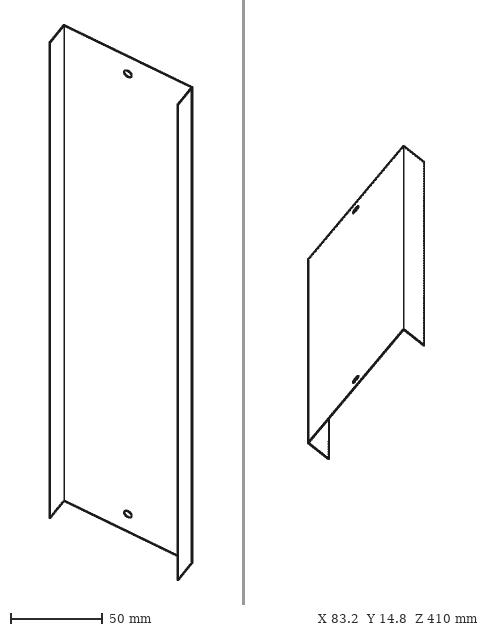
import cadquery as cq

width = 83.2
depth = 14.8
height = 410

thickness = 0.5
hole_diameter = 5.0
hole_end_distance = 15.0
hole_spacing = height - 2 * hole_end_distance

outer_block = cq.Workplane("XY").box(width, depth, height)
channel_space = (
    cq.Workplane("XY")
    .box(width - 2 * thickness, depth, height)
    .translate((0, -thickness, 0))
)
channel = outer_block.cut(channel_space)

holes = (
    cq.Workplane("XZ")
    .pushPoints([(0, -hole_spacing / 2), (0, hole_spacing / 2)])
    .circle(hole_diameter / 2)
    .extrude(depth, both=True)
)

result = channel.cut(holes)